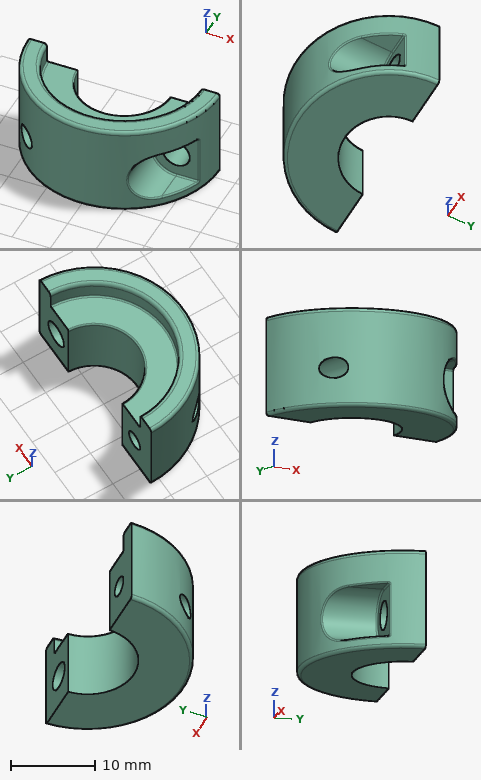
import cadquery as cq

outer_radius = 12.5
height = 12.0
bore_radius = 6.0
split_gap = 0.15
rim_round = 0.45

recess_radius = 10.0
recess_depth = 2.7
recess_rim_round = 0.5
small_round = 0.2

hole_height = 4.7
hole_offset = 8.75
thread_hole_radius = 1.25
clearance_hole_radius = 1.75

seat_radius = 3.25
seat_floor_y = -4.4


def cylinder(radius, bottom, length):
    return cq.Workplane("XY").workplane(offset=bottom).circle(radius).extrude(length)


def make_ring():
    """Full ring with its recess and rounded edges."""
    floor_z = height - recess_depth
    body = cylinder(outer_radius, 0, height).edges().fillet(rim_round)
    body = body.cut(cylinder(bore_radius, 0, height))
    body = body.cut(cylinder(recess_radius, floor_z, recess_depth))
    top_rim = cq.selectors.RadiusNthSelector(0)
    body = body.faces(">Z").edges(top_rim).fillet(recess_rim_round)
    floor = body.faces(cq.selectors.NearestToPointSelector((0, 0, floor_z)))
    return floor.edges().fillet(small_round)


def half_space():
    """Block that keeps the -Y side of the split."""
    return cq.Workplane("XY").box(
        2 * outer_radius, outer_radius, height, centered=(True, False, False)
    ).translate((0, -outer_radius - split_gap, 0))


def screw_hole(x, radius):
    return cq.Workplane("XZ").center(x, hole_height).circle(radius).extrude(outer_radius)


def seat_prism():
    """D-shaped prism, open towards +X, that clears the screw head."""
    run_out = outer_radius - hole_offset
    return (
        cq.Workplane("XZ", origin=(hole_offset, seat_floor_y, hole_height))
        .moveTo(run_out, seat_radius)
        .lineTo(0, seat_radius)
        .threePointArc((-seat_radius, 0), (0, -seat_radius))
        .lineTo(run_out, -seat_radius)
        .close()
        .extrude(outer_radius + seat_floor_y)
    )


def cut_screw_seat(body):
    """Cut the seat and round its floor corner and its mouth on the outer cylinder."""
    reach = seat_radius + small_round
    around_seat = cq.selectors.BoxSelector(
        (hole_offset - reach, -outer_radius, hole_height - reach),
        (outer_radius, seat_floor_y + small_round, hole_height + reach),
        boundingbox=True,
    )
    edges = body.cut(seat_prism()).edges(around_seat)
    return edges.edges("not |Y").fillet(small_round)


result = cut_screw_seat(make_ring().intersect(half_space()))
result = result.cut(screw_hole(-hole_offset, thread_hole_radius))
result = result.cut(screw_hole(hole_offset, clearance_hole_radius))